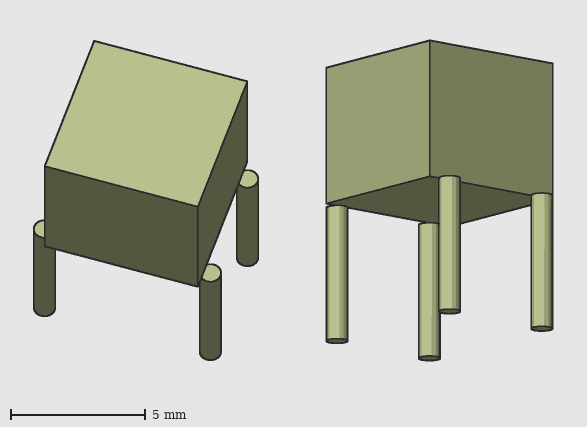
import cadquery as cq

housing_width = 6.0
overall_height = 10.3

pin_diameter = 0.8
pin_length = 5.1
pin_pitch_x = 6.5
pin_pitch_y = 4.5

housing_height = overall_height - pin_length


def make_housing():
    """Block whose underside rests on the pin tops at Z = 0."""
    return cq.Workplane("XY").box(
        housing_width, housing_width, housing_height, centered=(True, True, False)
    )


def make_pin(x, y):
    """Round pin hanging down from Z = 0."""
    return cq.Workplane("XY").center(x, y).circle(pin_diameter / 2).extrude(-pin_length)


housing = make_housing()

pins = []
for x_side in (-1, 1):
    for y_side in (-1, 1):
        pin = make_pin(x_side * pin_pitch_x / 2, y_side * pin_pitch_y / 2)
        pins.append(pin.val())

result = cq.Compound.makeCompound([housing.val(), *pins])